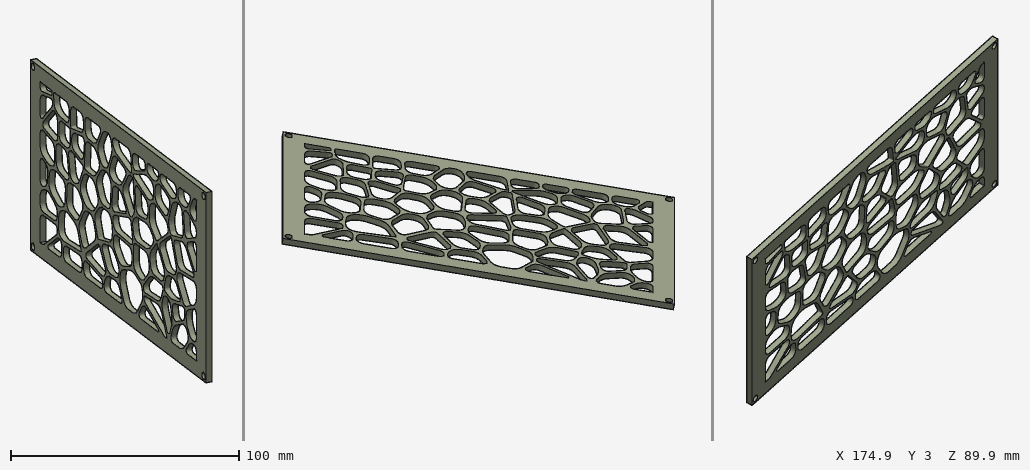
import cadquery as cq
import math

PANEL_WIDTH = 174.9
PANEL_THICKNESS = 3.0
PANEL_HEIGHT = 89.9

HOLE_DIAMETER = 3.1
HOLE_EDGE_DISTANCE = 2.5

WINDOW_WIDTH = 155.6
WINDOW_HEIGHT = 75.9
WALL_THICKNESS = 1.5

CORNER_SETBACK = 3.1
MAX_EDGE_SHARE = 0.45

JUNCTIONS = {
    "A1": (-70.1, -9.6),
    "B1": (-65.0, 35.0), "B2": (-64.5, 30.8), "B3": (-60.0, 28.0), "B4": (-59.6, 16.3), "B5": (-62.8, 14.3),
    "B6": (-62.5, 2.5), "B7": (-69.0, 0.9), "B8": (-59.6, -15.5), "B9": (-60.5, -23.3), "B10": (-59.6, -28.0),
    "B11": (-55.6, -29.7),
    "C1": (-48.0, 27.3), "C2": (-47.0, 26.2), "C3": (-47.2, 17.5), "C4": (-50.5, 15.4), "C5": (-48.0, 1.7),
    "C6": (-39.7, 1.7), "C7": (-51.8, 0.0), "C8": (-52.3, -12.8), "C9": (-40.7, -16.0), "C10": (-36.4, -26.4),
    "C11": (-35.1, -27.3), "C12": (-36.2, -28.5), "C13": (-35.3, -28.9),
    "D1": (-33.5, 28.5), "D2": (-32.3, 28.5), "D3": (-33.4, 27.6), "D4": (-22.2, 27.1), "D5": (-34.5, 14.3),
    "D6": (-34.1, 11.9), "D7": (-23.5, 11.4), "D8": (-18.2, 1.7), "D9": (-33.2, -5.2), "D10": (-25.0, -5.8),
    "D11": (-18.5, -16.0), "D12": (-20.6, -16.5), "D13": (-20.8, -17.3), "D14": (-18.5, -17.3), "D15": (-32.9, -26.2),
    "D16": (-32.9, -29.4),
    "E1": (-4.9, 31.3), "E2": (-10.5, 20.0), "E3": (-16.8, 19.5), "E4": (-6.3, 16.3), "E5": (-7.2, 1.4),
    "E6": (-4.7, -6.3), "E7": (-6.1, -13.3), "E8": (-10.8, -28.5), "E9": (-14.7, -32.7),
    "F1": (14.0, 28.2), "F2": (10.3, 26.8), "F3": (14.3, 26.5), "F4": (15.5, 25.5), "F5": (2.6, 16.5),
    "F6": (17.1, 9.3), "F7": (10.7, 6.3), "F8": (13.1, 5.6), "F9": (15.2, -3.7), "F10": (14.3, -7.3),
    "F11": (14.3, -17.3), "F12": (2.0, -21.2), "F13": (0.5, -28.2),
    "G1": (28.0, 32.9), "G2": (30.6, 20.0), "G3": (29.9, 10.0), "G4": (30.3, -3.7), "G5": (32.2, -13.0),
    "G6": (24.0, -21.2), "G7": (25.0, -25.0), "G8": (25.0, -28.9),
    "H1": (40.7, 33.4), "H2": (36.0, 30.8), "H3": (35.8, 22.4), "H4": (49.0, 17.8), "H5": (51.2, 12.5),
    "H6": (37.6, 3.8), "H7": (39.0, 3.8), "H8": (47.4, -7.2), "H9": (45.1, -13.8), "H10": (45.3, -16.8),
    "H11": (52.3, -18.7), "H12": (42.1, -24.1),
    "J1": (59.0, 31.1), "J2": (68.9, 30.0), "J3": (64.2, 29.4), "J4": (53.3, 28.9), "J5": (66.0, 14.5),
    "J6": (53.5, 11.7), "J7": (59.1, -1.7), "J8": (57.0, -6.1), "J9": (64.7, -16.3), "J10": (67.0, -17.1),
    "J11": (67.0, -23.6), "J12": (54.7, -28.7),
    "K1": (71.7, -30.5),
}

TOP_ENDS = [-65.4, -48.3, -34.3, -14.9, -7.5, 13.0, 27.5, 41.3, 58.4, 74.8]
RIGHT_ENDS = [24.8, 19.5, -0.3, -11.9, -30.6]
BOTTOM_ENDS = [-74.5, -55.5, -35.1, -14.9, 6.3, 17.7, 46.2, 50.2, 64.2]
LEFT_ENDS = [32.9, 17.5, 4.5, -12.5, -23.3]

RIM_X = (WINDOW_WIDTH + WALL_THICKNESS) / 2
RIM_Z = (WINDOW_HEIGHT + WALL_THICKNESS) / 2
WINDOW_CORNERS = {
    "tl": (-RIM_X, RIM_Z),
    "tr": (RIM_X, RIM_Z),
    "br": (RIM_X, -RIM_Z),
    "bl": (-RIM_X, -RIM_Z),
}

OPENINGS = [
    "tl t1 B1 l1", "l1 B1 B2 l2", "l2 B2 B3 B4 B5", "t1 t2 C1 B3 B2 B1", "B3 C1 C2 C3 C4 B4",
    "l2 B5 B6 B7 l3", "B5 B4 C4 C5 C7 B6", "l3 B7 A1 l4", "B7 B6 C7 C8 B8 A1", "l4 A1 B8 B9 l5",
    "l5 B9 B10 b1 bl", "B10 B11 b2 b1", "B8 C8 C9 C10 C12 B11 B10 B9", "B11 C13 b3 b2", "t2 t3 D1 C2 C1",
    "C2 D2 D5 C3", "C3 D5 D6 C6 C5 C4", "C7 C5 C6 D9 C9 C8", "t3 t4 D4 D3", "D3 D4 E3 D7 D6 D5",
    "D6 D7 D8 D10 D9 C6", "D9 D10 D12 C11 C9", "t4 t5 E1 E2 E3 D4", "E3 E2 E4 E5 D8 D7",
    "t5 t6 F1 F3 F2 E1", "E1 F2 F5 E4 E2", "E4 F5 F7 E5", "F2 F3 F4 F6 F8 F7 F5",
    "D8 E5 E6 E7 D11 D12 D10", "E5 F7 F8 F9 F10 E6", "E6 F10 F11 F12 E7", "D13 D14 E8 E9 D16 D15",
    "D11 E7 F12 F13 E8", "C13 E9 b4 b3", "E9 E8 F13 b5 b4", "F12 F11 G6 G7 G8 b6 b5 F13", "t6 t7 G1 F1",
    "t7 t8 H1 H2 G1", "t8 t9 J1 J4 H1", "t9 t10 J2 J3 J1", "t10 tr r1 J2", "F1 G1 H2 H3 G2 F4 F3",
    "F4 G2 G3 F6", "H2 H1 J4 H4 H3", "J4 J1 J3 J5 J6 H5 H4", "J3 J2 r1 r2 J5", "J5 r2 r3",
    "G2 H3 H4 H5 H7 H6 G3", "F6 G3 H6 G4 F9 F8", "H7 H5 J6 J7 J8 H8", "J6 J5 r3 J7",
    "F9 G4 G5 G6 F11 F10", "G4 H6 H7 H8 H9 G5", "H8 J8 J9 H11 H10 H9", "J7 r3 r4 J10 J9 J8",
    "J10 r4 r5 K1 J11", "H11 J9 J10 J11 J12", "G5 H9 H10 H12 G7 G6", "H10 H11 J12 b8 H12",
    "G7 H12 b8 b7 G8", "G8 b7 b6", "J12 J11 K1 b9 b8", "K1 r5 br b9",
]


def all_points():
    """Collect every named point of the web: junctions, window corners and wall ends."""
    points = {**JUNCTIONS, **WINDOW_CORNERS}
    points.update({f"t{i}": (x, RIM_Z) for i, x in enumerate(TOP_ENDS, 1)})
    points.update({f"r{i}": (RIM_X, z) for i, z in enumerate(RIGHT_ENDS, 1)})
    points.update({f"b{i}": (x, -RIM_Z) for i, x in enumerate(BOTTOM_ENDS, 1)})
    points.update({f"l{i}": (-RIM_X, z) for i, z in enumerate(LEFT_ENDS, 1)})
    return points


def unit_vector(start, end):
    """Direction of length one from start to end."""
    length = math.dist(start, end)
    return (end[0] - start[0]) / length, (end[1] - start[1]) / length


def move(point, direction, distance):
    """Point reached by going a distance along a direction."""
    return point[0] + distance * direction[0], point[1] + distance * direction[1]


def inset_corner(before, corner, after):
    """Corner of a clockwise outline after both of its edges move inward by half a wall."""
    ux, uz = unit_vector(before, corner)
    vx, vz = unit_vector(corner, after)
    shift = WALL_THICKNESS / 2 / (1 + ux * vx + uz * vz)
    return corner[0] + shift * (uz + vz), corner[1] - shift * (ux + vx)


def rounded_corner(before, corner, after):
    """Start, middle and end of the arc that is tangent to both edges of a corner."""
    shortest_edge = min(math.dist(before, corner), math.dist(corner, after))
    setback = min(CORNER_SETBACK, MAX_EDGE_SHARE * shortest_edge)
    start = move(corner, unit_vector(corner, before), setback)
    end = move(corner, unit_vector(corner, after), setback)
    chord_middle = ((start[0] + end[0]) / 2, (start[1] + end[1]) / 2)
    half_chord = math.dist(start, end) / 2
    bulge = half_chord / (setback + half_chord)
    middle = (
        chord_middle[0] + bulge * (corner[0] - chord_middle[0]),
        chord_middle[1] + bulge * (corner[1] - chord_middle[1]),
    )
    return start, middle, end


def opening_cutter(names, points):
    """Solid that cuts one rounded opening through the panel."""
    count = len(names)
    centreline = [points[name] for name in names]
    corners = [
        inset_corner(centreline[i - 1], centreline[i], centreline[(i + 1) % count])
        for i in range(count)
    ]
    outline = cq.Workplane("XZ")
    for i, name in enumerate(names):
        if name in WINDOW_CORNERS:
            path = [corners[i]]
        else:
            path = rounded_corner(corners[i - 1], corners[i], corners[(i + 1) % count])
        outline = outline.moveTo(*path[0]) if i == 0 else outline.lineTo(*path[0])
        if len(path) > 1:
            outline = outline.threePointArc(path[1], path[2])
    return outline.close().extrude(PANEL_THICKNESS, both=True).val()


def mounting_holes():
    """Pins that cut the four corner holes."""
    spacing_x = PANEL_WIDTH - 2 * HOLE_EDGE_DISTANCE
    spacing_z = PANEL_HEIGHT - 2 * HOLE_EDGE_DISTANCE
    return (
        cq.Workplane("XZ")
        .rect(spacing_x, spacing_z, forConstruction=True)
        .vertices()
        .circle(HOLE_DIAMETER / 2)
        .extrude(PANEL_THICKNESS, both=True)
    )


web_points = all_points()
cutters = [opening_cutter(opening.split(), web_points) for opening in OPENINGS]
panel = cq.Workplane("XY").box(PANEL_WIDTH, PANEL_THICKNESS, PANEL_HEIGHT).cut(mounting_holes())
result = cq.Workplane("XY").newObject([panel.val().cut(*cutters)])